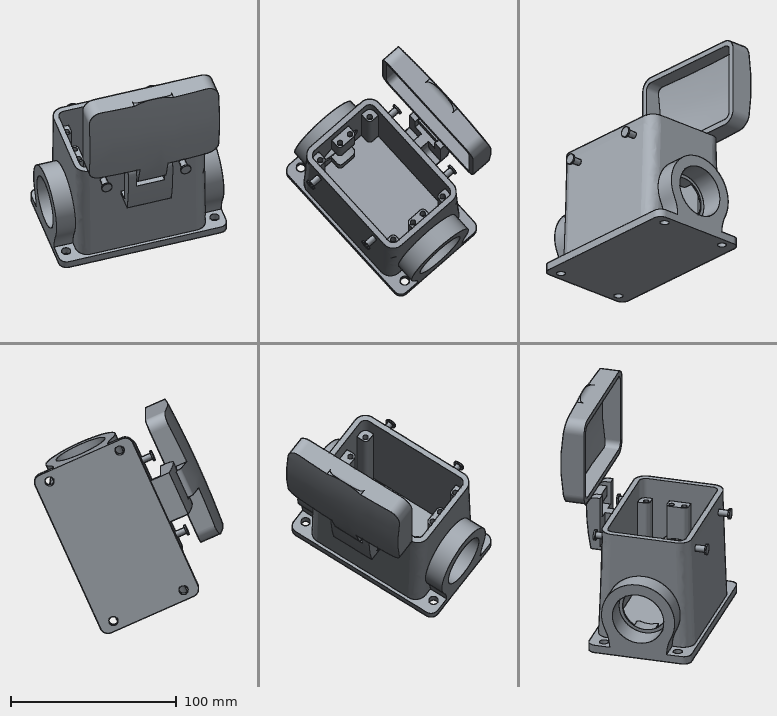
import cadquery as cq
import math

base_length = 64.5
base_width = 106.0
base_thickness = 5.0
base_corner_radius = 5.0
mount_hole_diameter = 5.5
mount_hole_x = 23.2
mount_hole_y = 47.0

body_length = 56.0
body_width = 82.0
body_height = 75.0
body_corner_radius = 7.5
rim_height = 5.5
taper_angle = 2.0
wall = 3.5
floor_thickness = 5.0
cavity_length = body_length - 2 * wall
cavity_width = body_width - 2 * wall

taper_top = body_height - rim_height
foot_length = body_length + 2 * taper_top * math.tan(math.radians(taper_angle))

port_height = 26.5
port_radius = 23.0
port_flank_radius = 25.0
port_bore_diameter = 32.3
port_through_diameter = 28.0
port_bore_depth = 14.5

post_hole_x = 20.0
post_hole_inner_x = 4.0
post_hole_y = 33.0
post_hole_diameter = 3.2
post_hole_depth = 12.0
post_rim = 2.75
post_corner_radius = 2.5
post_top = 62.0

pin_spacing = 50.0
pin_height = 65.0
pin_diameter = 4.0
pin_head_diameter = 6.5
pin_head_thickness = 1.0
pin_reach = 35.5

bracket_front_x = 35.2
bracket_back_x = 43.9
bracket_width = 28.0
bracket_bottom = 49.6
bracket_top = 84.2
bracket_tip_radius = 5.9
bracket_back_radius = 145.0
bracket_slot_floor = taper_top
bracket_plate_thickness = 2.3
bracket_rib_width = 6.4
bracket_rib_fillet = 4.0
tongue_width = 17.7

lid_front_x = 37.5
lid_crown_x = 53.48
lid_height = body_length
lid_center_z = 118.4
lid_bottom = lid_center_z - lid_height / 2
lid_top = lid_center_z + lid_height / 2
dome_radius_z = 132.0
dome_radius_y = 640.0

tongue_front_x = 43.3
tongue_bottom = 75.0
tongue_tip_radius = 3.0
tongue_foot_height = 6.4

grip_width = 24.8
grip_top = 148.53
grip_front_x = 46.6
dome_overshoot = 10.0


def rounded_prism(x_size, y_size, radius, z_low, z_high):
    height = z_high - z_low
    return (
        cq.Workplane("XY", origin=(0, 0, z_low))
        .rect(x_size, y_size).extrude(height)
        .edges("|Z").fillet(radius)
    )


def rounded_section(x_size, y_size, radius):
    return cq.Sketch().rect(x_size, y_size).vertices().fillet(radius)


def body_shape():
    """Rim band over walls that flare in X towards the base, from Z = 0 up."""
    flared = (
        cq.Workplane("XY")
        .placeSketch(
            rounded_section(foot_length, body_width, body_corner_radius),
            rounded_section(body_length, body_width, body_corner_radius).moved(cq.Location((0, 0, taper_top))),
        )
        .loft()
    )
    rim = rounded_prism(body_length, body_width, body_corner_radius, taper_top, body_height)
    return flared.union(rim)


def body_cavity():
    """Straight-walled interior, open at the top."""
    radius = body_corner_radius - wall
    return rounded_prism(cavity_length, cavity_width, radius, floor_thickness, body_height)


def port_boss():
    """Round boss across the whole width, with concave flanks down to the base."""
    rise = port_height - base_thickness
    center_gap = port_radius + port_flank_radius
    flank_center_x = math.sqrt(center_gap ** 2 - rise ** 2)
    foot_x = flank_center_x - port_flank_radius
    tangent_x = flank_center_x * port_radius / center_gap
    tangent_z = port_height - rise * port_radius / center_gap
    half_angle = math.asin(rise / center_gap) / 2
    middle_x = flank_center_x - port_flank_radius * math.cos(half_angle)
    middle_z = base_thickness + port_flank_radius * math.sin(half_angle)
    return (
        cq.Workplane("XZ", origin=(0, base_width / 2, 0))
        .moveTo(-foot_x, 0)
        .lineTo(-foot_x, base_thickness)
        .threePointArc((-middle_x, middle_z), (-tangent_x, tangent_z))
        .threePointArc((0, port_height + port_radius), (tangent_x, tangent_z))
        .threePointArc((middle_x, middle_z), (foot_x, base_thickness))
        .lineTo(foot_x, 0)
        .close().extrude(base_width)
    )


def port_cylinder(diameter, side, depth):
    """Bore of the given depth, entering the boss from its outer end face."""
    return (
        cq.Workplane("XZ", origin=(0, side * base_width / 2, port_height))
        .circle(diameter / 2).extrude(side * depth)
    )


def post(x_low, x_high, side):
    """Screw post on the Y wall of the given side; its free upright edges are rounded."""
    inner_y = post_hole_y - post_rim
    depth = cavity_width / 2 - inner_y
    block = (
        cq.Workplane("XY", origin=((x_low + x_high) / 2, side * (inner_y + depth / 2), floor_thickness))
        .rect(x_high - x_low, depth).extrude(post_top - floor_thickness)
    )
    free_edges = [
        edge for edge in block.edges("|Z").vals()
        if abs(edge.Center().y) < inner_y + depth / 2 and abs(edge.Center().x) < post_hole_x
    ]
    return block.newObject(free_edges).fillet(post_corner_radius)


def screw_posts():
    """A post in each cavity corner and one behind each port, with blind screw holes."""
    middle_x = post_hole_inner_x + post_rim
    corner_x = post_hole_x - post_rim
    wall_x = cavity_length / 2 + wall / 2
    posts = cq.Workplane("XY")
    for side in (-1, 1):
        posts = posts.union(post(-wall_x, -corner_x, side))
        posts = posts.union(post(corner_x, wall_x, side))
        posts = posts.union(post(-middle_x, middle_x, side))
    hole_points = [
        (x, y)
        for x in (-post_hole_x, -post_hole_inner_x, post_hole_inner_x, post_hole_x)
        for y in (-post_hole_y, post_hole_y)
    ]
    holes = (
        cq.Workplane("XY", origin=(0, 0, post_top)).pushPoints(hole_points)
        .circle(post_hole_diameter / 2).extrude(-post_hole_depth)
    )
    return posts.cut(holes)


def latch_pins():
    """Four headed pins on the X walls."""
    pins = cq.Workplane("XY")
    root_x = body_length / 2 - wall / 2
    for side in (-1, 1):
        for y in (-pin_spacing / 2, pin_spacing / 2):
            shank = (
                cq.Workplane("YZ", origin=(side * root_x, y, pin_height))
                .circle(pin_diameter / 2).extrude(side * (pin_reach - root_x))
            )
            head = (
                cq.Workplane("YZ", origin=(side * pin_reach, y, pin_height))
                .circle(pin_head_diameter / 2).extrude(-side * pin_head_thickness)
            )
            pins = pins.union(shank).union(head)
    return pins


def hinge_bracket():
    """Upright plate with two ears, carried on the wall by a ribbed foot plate."""
    tip_z = bracket_top - bracket_tip_radius
    drop = tip_z - bracket_bottom

    def back_x(below):
        return bracket_back_x - bracket_back_radius + math.sqrt(bracket_back_radius ** 2 - below ** 2)

    diagonal = bracket_tip_radius * math.sqrt(0.5)
    tip_x = bracket_back_x - bracket_tip_radius
    upright = (
        cq.Workplane("XZ", origin=(0, bracket_width / 2, 0))
        .moveTo(bracket_front_x, bracket_bottom)
        .lineTo(back_x(drop), bracket_bottom)
        .threePointArc((back_x(drop / 2), tip_z - drop / 2), (bracket_back_x, tip_z))
        .threePointArc((tip_x + diagonal, tip_z + diagonal), (tip_x, bracket_top))
        .lineTo(bracket_front_x, bracket_top)
        .close().extrude(bracket_width)
    )
    slot = (
        cq.Workplane("XY", origin=(bracket_back_x, 0, bracket_slot_floor))
        .rect(bracket_width, tongue_width).extrude(bracket_top)
    )

    root_x = body_length / 2 - wall / 2
    plate_top = bracket_bottom + bracket_plate_thickness
    half_rib = bracket_rib_width / 2
    arc_x = half_rib + bracket_rib_fillet
    arc_z = plate_top + bracket_rib_fillet
    arc_offset = bracket_rib_fillet * math.sqrt(0.5)
    foot = (
        cq.Workplane("YZ", origin=(root_x, 0, 0))
        .moveTo(-bracket_width / 2, bracket_bottom)
        .lineTo(bracket_width / 2, bracket_bottom)
        .lineTo(bracket_width / 2, plate_top)
        .lineTo(arc_x, plate_top)
        .threePointArc((arc_x - arc_offset, arc_z - arc_offset), (half_rib, arc_z))
        .lineTo(half_rib, bracket_slot_floor)
        .lineTo(-half_rib, bracket_slot_floor)
        .lineTo(-half_rib, arc_z)
        .threePointArc((arc_offset - arc_x, arc_z - arc_offset), (-arc_x, plate_top))
        .lineTo(-bracket_width / 2, plate_top)
        .close().extrude(bracket_front_x - root_x)
    )
    return upright.cut(slot).union(foot)


def build_housing():
    base = rounded_prism(base_length, base_width, base_corner_radius, 0, base_thickness)
    mount_points = [(x, y) for x in (-mount_hole_x, mount_hole_x) for y in (-mount_hole_y, mount_hole_y)]
    base = base.cut(
        cq.Workplane("XY").pushPoints(mount_points)
        .circle(mount_hole_diameter / 2).extrude(base_thickness)
    )

    shell = (
        base.union(body_shape()).union(port_boss())
        .union(latch_pins()).union(hinge_bracket())
        .cut(body_cavity())
    )
    shell = shell.union(screw_posts())

    through_depth = base_width / 2 - post_hole_y + post_rim
    for side in (-1, 1):
        shell = shell.cut(port_cylinder(port_bore_diameter, side, port_bore_depth))
        shell = shell.cut(port_cylinder(port_through_diameter, side, through_depth))
    return shell


def dome(inset):
    """Solid whose +X face is the lid dome, moved inward by `inset`."""
    radius = dome_radius_z - inset
    crown_x = lid_crown_x - inset
    half_height = lid_top - tongue_bottom
    edge_x = crown_x - radius + math.sqrt(radius ** 2 - half_height ** 2)
    start_x = lid_front_x - dome_overshoot
    sweep_angle = 2 * math.degrees(math.asin(body_width / dome_radius_y))
    axis_x = lid_crown_x - dome_radius_y
    return (
        cq.Workplane("XZ")
        .moveTo(start_x, lid_center_z - half_height)
        .lineTo(edge_x, lid_center_z - half_height)
        .threePointArc((crown_x, lid_center_z), (edge_x, lid_center_z + half_height))
        .lineTo(start_x, lid_center_z + half_height)
        .close()
        .revolve(sweep_angle, (axis_x, 0), (axis_x, 1))
        .rotate((axis_x, 0, 0), (axis_x, 0, 1), -sweep_angle / 2)
    )


def lid_prism(inset):
    """Rounded rectangle of the lid outline, extruded along X past the dome."""
    return (
        cq.Workplane("YZ", origin=(lid_front_x, 0, lid_center_z))
        .rect(body_width - 2 * inset, lid_height - 2 * inset)
        .extrude(lid_crown_x - lid_front_x + dome_overshoot)
        .edges("|X").fillet(body_corner_radius - inset)
    )


def lid_tongue():
    """Arm below the lid with a foot reaching forward between the hinge ears."""
    foot_top = tongue_bottom + tongue_foot_height
    return (
        cq.Workplane("XZ", origin=(0, tongue_width / 2, 0))
        .moveTo(lid_front_x, tongue_bottom)
        .lineTo(lid_crown_x, tongue_bottom)
        .lineTo(lid_crown_x, lid_bottom + wall / 2)
        .lineTo(tongue_front_x, lid_bottom + wall / 2)
        .lineTo(tongue_front_x, foot_top)
        .lineTo(lid_front_x, foot_top)
        .close().extrude(tongue_width)
    )


def lid_grip():
    """Arched finger lip on the top edge, hollowed on its front side."""
    rise = grip_top - lid_center_z
    tip_x = lid_crown_x - dome_radius_z + math.sqrt(dome_radius_z ** 2 - rise ** 2)
    lip_height = grip_top - lid_top
    hollow_radius = ((tip_x - grip_front_x) ** 2 + lip_height ** 2) / (2 * lip_height)
    arch = (
        cq.Workplane("YZ", origin=(grip_front_x, 0, 0))
        .moveTo(-grip_width / 2, lid_top - wall / 2)
        .lineTo(-grip_width / 2, lid_top)
        .threePointArc((0, grip_top), (grip_width / 2, lid_top))
        .lineTo(grip_width / 2, lid_top - wall / 2)
        .close().extrude(lid_crown_x - grip_front_x)
    )
    hollow = (
        cq.Workplane("XZ", origin=(grip_front_x, grip_width / 2, lid_top + hollow_radius))
        .circle(hollow_radius).extrude(grip_width)
    )
    return arch.cut(hollow)


def build_lid():
    outer = lid_prism(0).union(lid_tongue()).union(lid_grip()).intersect(dome(0))
    outer = outer.faces("<Z").edges(">X").fillet(tongue_tip_radius)
    return outer.cut(lid_prism(wall).intersect(dome(wall)))


housing = build_housing()
lid = build_lid()

result = cq.Compound.makeCompound([housing.solids().val(), lid.solids().val()])